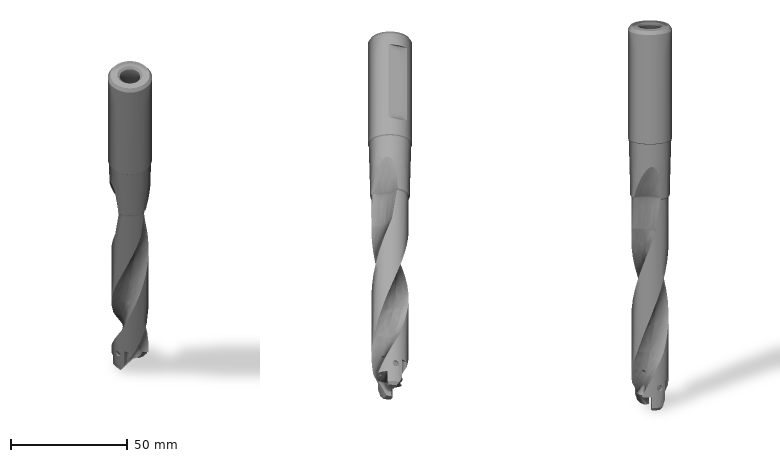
import cadquery as cq
import math

TOTAL_LENGTH = 169.7

SHANK_RADIUS = 9.5
SHANK_BOTTOM = 119.6
SHANK_TOP_CHAMFER_WIDTH = 1.0
SHANK_TOP_CHAMFER_HEIGHT = 1.5
FLAT_Y = 8.5
FLAT_BOTTOM = 128.1
FLAT_TOP = 162.9

NECK_TOP_RADIUS = 9.2
NECK_TOP = 119.3
NECK_BOTTOM_RADIUS = 8.5
NECK_BOTTOM = 94.3
NECK_STEP_CHAMFER = 0.5

BODY_RADIUS = 8.0
TIP_CHAMFER_WIDTH = 1.0
TIP_CHAMFER_HEIGHT = 1.4
FLUTE_COUNT = 2
FLUTE_PITCH = 129.0
FLUTE_TIP_PITCH = 93.3
FLUTE_NECK_PITCH = 322.4
FLUTE_MID_HEIGHT = 70.0
FLUTE_TIP_END = 25.5
FLUTE_NECK_START = 79.7
FLUTE_TOP = 94.3
FLUTE_RADIUS = 7.8
FLUTE_OFFSET = 10.9
RUNOUT_LENGTH = 18.7
RUNOUT_RISE = 8.7
RUNOUT_TURN = 40.0
SHOULDER_APEX = 15.3
SHOULDER_SLOPE = 1.7

SLOT_FLOOR = 6.1
SLOT_HALF_WIDTH = 3.4
PRONG_HALF_WIDTH = 4.0
PRONG_INNER_X = 2.0
NOTCH_TOP = 12.7
NOTCH_SIDE_X = 2.4
NOTCH_FLOOR_Y = 6.1
LEADING_BEVEL_X = 0.2
TRAILING_BEVEL_WIDTH = 1.0
TRAILING_BEVEL_HEIGHT = 1.4

BORE_RADIUS = 4.4
BORE_DEPTH = 25.5
BORE_CHAMFER = 1.0
BORE_POINT_HEIGHT = 2.5
COOLANT_RADIUS = 1.2
OUTLET_RADIUS = 0.8
OUTLET_HEIGHT = 16.0

SCREW_X = -0.7
SCREW_HEIGHT = 10.0
SCREW_RADIUS = 1.4
SCREW_OUTER_END = 7.1
SCREW_INNER_END = 3.7

CLEARANCE = 1.7


def half_turn_copies(shape):
    """The shape and its copies spaced evenly around the drill axis."""
    step = 360.0 / FLUTE_COUNT
    return [shape.rotate((0, 0, 0), (0, 0, 1), i * step) for i in range(FLUTE_COUNT)]


def blank():
    """Turned blank: fluted section, tapered neck and chamfered shank."""
    return (
        cq.Workplane("XZ")
        .moveTo(0, 0)
        .lineTo(BODY_RADIUS - TIP_CHAMFER_WIDTH, 0)
        .lineTo(BODY_RADIUS, TIP_CHAMFER_HEIGHT)
        .lineTo(BODY_RADIUS, NECK_BOTTOM - NECK_STEP_CHAMFER)
        .lineTo(NECK_BOTTOM_RADIUS, NECK_BOTTOM)
        .lineTo(NECK_TOP_RADIUS, NECK_TOP)
        .lineTo(SHANK_RADIUS, SHANK_BOTTOM)
        .lineTo(SHANK_RADIUS, TOTAL_LENGTH - SHANK_TOP_CHAMFER_HEIGHT)
        .lineTo(SHANK_RADIUS - SHANK_TOP_CHAMFER_WIDTH, TOTAL_LENGTH)
        .lineTo(0, TOTAL_LENGTH)
        .close()
        .revolve(360, (0, 0, 0), (0, 1, 0))
    )


def shank_flat():
    """Clamping flat on the +Y side of the shank, with a 45 degree ramp at its lower end."""
    depth = SHANK_RADIUS + CLEARANCE - FLAT_Y
    return (
        cq.Workplane("YZ")
        .moveTo(FLAT_Y, FLAT_BOTTOM)
        .lineTo(FLAT_Y, FLAT_TOP)
        .lineTo(FLAT_Y + depth, FLAT_TOP)
        .lineTo(FLAT_Y + depth, FLAT_BOTTOM - depth)
        .close()
        .extrude(SHANK_RADIUS, both=True)
    )


def flute_shoulder():
    """Cone left standing at the lower end of the flutes, carrying the floor out to the slot floor."""
    radius = FLUTE_OFFSET + FLUTE_RADIUS
    return (
        cq.Workplane("XZ")
        .moveTo(0, SHOULDER_APEX - radius * SHOULDER_SLOPE)
        .lineTo(radius, SHOULDER_APEX - radius * SHOULDER_SLOPE)
        .lineTo(0, SHOULDER_APEX)
        .close()
        .revolve(360, (0, 0, 0), (0, 1, 0))
    )


def twist_angle(bottom, top, pitch):
    """Turn of a flute between two heights, in degrees."""
    return 360.0 * (top - bottom) / pitch


def helical_flute(bottom, top, pitch, start_angle):
    """Cutter for a length of one flute with constant pitch; two arcs form its round floor."""
    diagonal = FLUTE_RADIUS * math.sqrt(0.5)
    return (
        cq.Workplane("XY", origin=(0, 0, bottom))
        .moveTo(FLUTE_OFFSET, FLUTE_RADIUS)
        .threePointArc((FLUTE_OFFSET - diagonal, diagonal), (FLUTE_OFFSET - FLUTE_RADIUS, 0))
        .threePointArc((FLUTE_OFFSET - diagonal, -diagonal), (FLUTE_OFFSET, -FLUTE_RADIUS))
        .close()
        .twistExtrude(top - bottom, twist_angle(bottom, top, pitch))
        .rotate((0, 0, 0), (0, 0, 1), start_angle)
    )


def flute_runout(start_angle):
    """Cutter that carries the end of one flute straight up and outward to the neck surface."""
    turn = math.radians(RUNOUT_TURN)
    travel = cq.Vector(RUNOUT_RISE * math.cos(turn), RUNOUT_RISE * math.sin(turn), RUNOUT_LENGTH)
    centre = cq.Vector(FLUTE_OFFSET, 0, FLUTE_TOP)
    outline = cq.Wire.makeCircle(FLUTE_RADIUS, centre, cq.Vector(0, 0, 1))
    prism = cq.Solid.extrudeLinear(outline, [], travel)
    return cq.Workplane(obj=prism).rotate((0, 0, 0), (0, 0, 1), start_angle)


def flute_cutters():
    """Cutters for one whole flute: tip twist, main twist, neck twist and runout."""
    tip_end_angle = twist_angle(FLUTE_MID_HEIGHT, FLUTE_TIP_END, FLUTE_PITCH)
    tip_angle = tip_end_angle - twist_angle(0, FLUTE_TIP_END, FLUTE_TIP_PITCH)
    neck_angle = twist_angle(FLUTE_MID_HEIGHT, FLUTE_NECK_START, FLUTE_PITCH)
    top_angle = neck_angle + twist_angle(FLUTE_NECK_START, FLUTE_TOP, FLUTE_NECK_PITCH)
    tip = helical_flute(0, FLUTE_TIP_END, FLUTE_TIP_PITCH, tip_angle)
    return [
        tip.cut(flute_shoulder()),
        helical_flute(FLUTE_TIP_END, FLUTE_NECK_START, FLUTE_PITCH, tip_end_angle),
        helical_flute(FLUTE_NECK_START, FLUTE_TOP, FLUTE_NECK_PITCH, neck_angle),
        flute_runout(top_angle),
    ]


def insert_slot():
    """Slot along X between the two prongs."""
    return cq.Workplane("XY").rect(4 * BODY_RADIUS, 2 * SLOT_HALF_WIDTH).extrude(SLOT_FLOOR)


def prong_side():
    """Cutter below the slot floor on +X: slanted side of the +Y prong, straight side of the other."""
    corner_y = math.sqrt(BODY_RADIUS**2 - PRONG_HALF_WIDTH**2)
    outer = BODY_RADIUS + CLEARANCE
    return (
        cq.Workplane("XY")
        .moveTo(PRONG_HALF_WIDTH, -outer)
        .lineTo(PRONG_HALF_WIDTH, -SLOT_HALF_WIDTH)
        .lineTo(PRONG_INNER_X, SLOT_HALF_WIDTH)
        .lineTo(PRONG_HALF_WIDTH, corner_y)
        .lineTo(PRONG_HALF_WIDTH, outer)
        .lineTo(outer, outer)
        .lineTo(outer, -outer)
        .close()
        .extrude(SLOT_FLOOR)
    )


def leading_bevel():
    """Bevel across the leading side of the -Y prong, from its end face up to the slot floor."""
    return (
        cq.Workplane("XZ", origin=(0, -SLOT_HALF_WIDTH, 0))
        .moveTo(LEADING_BEVEL_X, 0)
        .lineTo(PRONG_HALF_WIDTH, SLOT_FLOOR)
        .lineTo(PRONG_HALF_WIDTH, 0)
        .close()
        .extrude(BODY_RADIUS)
    )


def trailing_bevel():
    """Small bevel along the end of the trailing side of the -Y prong."""
    return (
        cq.Workplane("XZ", origin=(0, -SLOT_HALF_WIDTH, 0))
        .moveTo(-PRONG_HALF_WIDTH, 0)
        .lineTo(-PRONG_HALF_WIDTH, TRAILING_BEVEL_HEIGHT)
        .lineTo(-PRONG_HALF_WIDTH + TRAILING_BEVEL_WIDTH, 0)
        .close()
        .extrude(BODY_RADIUS)
    )


def prong_notch():
    """Notch into the outer surface on the leading side of the -Y prong."""
    return (
        cq.Workplane("XY")
        .box(BODY_RADIUS, BODY_RADIUS, NOTCH_TOP, centered=False)
        .translate((NOTCH_SIDE_X, -NOTCH_FLOOR_Y - BODY_RADIUS, 0))
    )


def coolant_bore():
    """Chamfered bore in the shank end, narrowing by a cone to the central coolant hole."""
    bore_bottom = TOTAL_LENGTH - BORE_DEPTH
    return (
        cq.Workplane("XZ")
        .moveTo(0, OUTLET_HEIGHT)
        .lineTo(COOLANT_RADIUS, OUTLET_HEIGHT)
        .lineTo(COOLANT_RADIUS, bore_bottom - BORE_POINT_HEIGHT)
        .lineTo(BORE_RADIUS, bore_bottom)
        .lineTo(BORE_RADIUS, TOTAL_LENGTH - BORE_CHAMFER)
        .lineTo(BORE_RADIUS + BORE_CHAMFER, TOTAL_LENGTH)
        .lineTo(0, TOTAL_LENGTH)
        .close()
        .revolve(360, (0, 0, 0), (0, 1, 0))
    )


def coolant_outlet():
    """Cross hole along X that opens into both flutes."""
    return (
        cq.Workplane("YZ")
        .center(0, OUTLET_HEIGHT)
        .circle(OUTLET_RADIUS)
        .extrude(BODY_RADIUS, both=True)
    )


def screw_cylinder(outer_end):
    """Cylinder along Y on the -Y side, from the inner end of the screw out to the given distance."""
    return (
        cq.Workplane("XZ", origin=(SCREW_X, -SCREW_INNER_END, SCREW_HEIGHT))
        .circle(SCREW_RADIUS)
        .extrude(outer_end - SCREW_INNER_END)
    )


def make_holder():
    """Drill holder: the blank with every cut made."""
    body = blank().cut(shank_flat())
    screw_hole = screw_cylinder(BODY_RADIUS + CLEARANCE)
    prong_cuts = [prong_side(), leading_bevel(), trailing_bevel(), prong_notch()]
    for feature in [*flute_cutters(), *prong_cuts, screw_hole]:
        for cutter in half_turn_copies(feature):
            body = body.cut(cutter)
    return body.cut(insert_slot()).cut(coolant_bore()).cut(coolant_outlet())


def make_screws():
    """One clamping screw for each prong, sunk below the surface."""
    return half_turn_copies(screw_cylinder(SCREW_OUTER_END))


holder = make_holder()
screws = make_screws()

result = cq.Compound.makeCompound([holder.val(), *[screw.val() for screw in screws]])